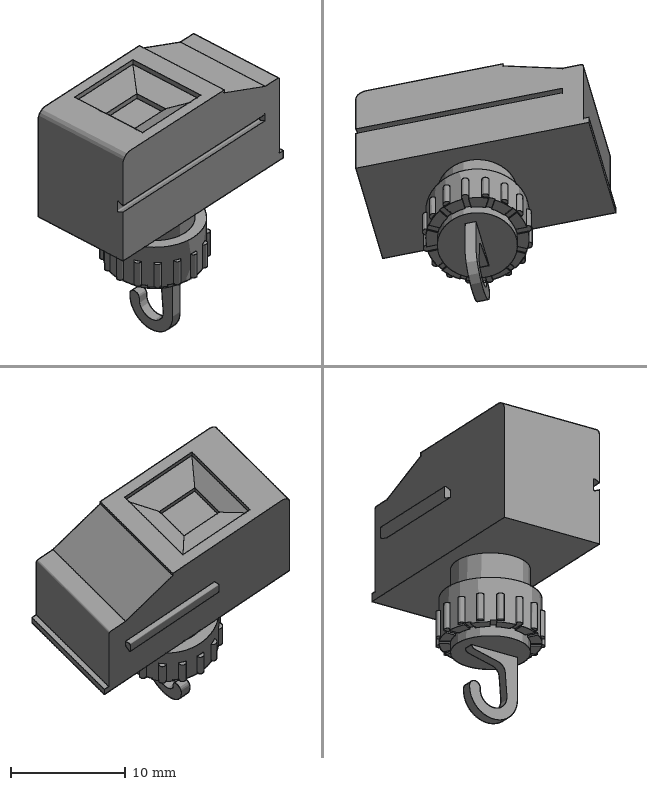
import cadquery as cq


HOUSING_WIDTH = 10.0
HOUSING_HEIGHT = 11.4
FRONT_DEPTH = 9.75
BACK_DEPTH = 10.76
LIP_LENGTH = 0.5
LIP_HEIGHT = 0.78
BACK_HEIGHT = 8.95
SLOPE_BOTTOM_Y = 8.87
SLOPE_TOP_Y = 3.5
SLOPE_STEP = 0.3
FRONT_EDGE_RADIUS = 1.0
BACK_EDGE_RADIUS = 0.25

POCKET_MOUTH_X = 8.0
POCKET_MOUTH_Y = 7.62
POCKET_MOUTH_CENTER_Y = -2.25
POCKET_FLOOR_X = 3.38
POCKET_FLOOR_Y = 4.0
POCKET_FLOOR_CENTER_Y = -2.5
POCKET_WALL = 0.5
POCKET_TAPER_DEPTH = 1.0

DOVETAIL_DEPTH = 0.65
DOVETAIL_WIDE = 1.25
DOVETAIL_NARROW = 0.68
DOVETAIL_Z = 5.6
DOVETAIL_EDGE_RADIUS = 0.1
RAIL_FRONT_Y = -1.22
RAIL_BACK_Y = 8.87

STEM_RADIUS = 3.5
STEM_LENGTH = 8.0

HOOK_THICKNESS = 1.0
HOOK_DROP = 14.6
HOOK_OUTER_RADIUS = 2.52
HOOK_INNER_RADIUS = 1.4
HOOK_TIP_STRAIGHT = 0.13
HOOK_ROOT_EMBED = 0.47
HOOK_SHOULDER_X = -2.35
HOOK_SHOULDER_Z = -8.3
HOOK_THROAT_X = 1.17
HOOK_THROAT_Z = -9.1
HOOK_SHOULDER_RADIUS = 0.5
HOOK_THROAT_RADIUS = 1.0

NUT_RADIUS = 4.52
NUT_TOP_Z = -2.83
NUT_BOTTOM_Z = -7.12
RIB_COUNT = 16
RIB_RADIUS = 0.35
RIB_TOP_Z = -4.47
RIB_BOTTOM_Z = -6.97
NOTCH_COUNT = 12
NOTCH_WIDTH = 0.55
NOTCH_HEIGHT = RIB_BOTTOM_Z - NUT_BOTTOM_Z


def housing_block():
    """Side outline extruded across the width, with the two rounded top edges."""
    outline = [
        (-FRONT_DEPTH, 0),
        (BACK_DEPTH + LIP_LENGTH, 0),
        (BACK_DEPTH + LIP_LENGTH, LIP_HEIGHT),
        (BACK_DEPTH, LIP_HEIGHT),
        (BACK_DEPTH, BACK_HEIGHT),
        (SLOPE_BOTTOM_Y, BACK_HEIGHT),
        (SLOPE_TOP_Y, HOUSING_HEIGHT - SLOPE_STEP),
        (SLOPE_TOP_Y, HOUSING_HEIGHT),
        (-FRONT_DEPTH, HOUSING_HEIGHT),
    ]
    block = cq.Workplane("YZ").polyline(outline).close().extrude(HOUSING_WIDTH / 2, both=True)
    front_edge = cq.NearestToPointSelector((0, -FRONT_DEPTH, HOUSING_HEIGHT))
    back_edge = cq.NearestToPointSelector((0, BACK_DEPTH, BACK_HEIGHT))
    block = block.edges(front_edge).fillet(FRONT_EDGE_RADIUS)
    return block.edges(back_edge).fillet(BACK_EDGE_RADIUS)


def pocket():
    """Upright mouth, tapered middle and upright floor recess, as one cutter."""
    taper_top = HOUSING_HEIGHT - POCKET_WALL
    taper_bottom = taper_top - POCKET_TAPER_DEPTH
    mouth = (
        cq.Workplane("XY", origin=(0, POCKET_MOUTH_CENTER_Y, taper_top))
        .rect(POCKET_MOUTH_X, POCKET_MOUTH_Y)
        .extrude(POCKET_WALL)
    )
    taper = (
        cq.Workplane("XY", origin=(0, POCKET_MOUTH_CENTER_Y, taper_top))
        .rect(POCKET_MOUTH_X, POCKET_MOUTH_Y)
        .workplane(offset=-POCKET_TAPER_DEPTH)
        .center(0, POCKET_FLOOR_CENTER_Y - POCKET_MOUTH_CENTER_Y)
        .rect(POCKET_FLOOR_X, POCKET_FLOOR_Y)
        .loft(ruled=True)
    )
    floor_recess = (
        cq.Workplane("XY", origin=(0, POCKET_FLOOR_CENTER_Y, taper_bottom))
        .rect(POCKET_FLOOR_X, POCKET_FLOOR_Y)
        .extrude(-POCKET_WALL)
    )
    return mouth.union(taper).union(floor_recess)


def dovetail(side_x, front_y, back_y):
    """Dovetail bar, narrow at side_x and widening toward -X, with rounded wide corners."""
    outline = [
        (side_x, DOVETAIL_Z - DOVETAIL_NARROW / 2),
        (side_x, DOVETAIL_Z + DOVETAIL_NARROW / 2),
        (side_x - DOVETAIL_DEPTH, DOVETAIL_Z + DOVETAIL_WIDE / 2),
        (side_x - DOVETAIL_DEPTH, DOVETAIL_Z - DOVETAIL_WIDE / 2),
    ]
    bar = (
        cq.Workplane("XZ", origin=(0, front_y, 0))
        .polyline(outline)
        .close()
        .extrude(front_y - back_y)
    )
    return bar.faces("<X").edges("|Y").fillet(DOVETAIL_EDGE_RADIUS)


def rail():
    return dovetail(-HOUSING_WIDTH / 2, RAIL_FRONT_Y, RAIL_BACK_Y)


def slot():
    """Slot open at the front face that ends level with the back end of the rail."""
    return dovetail(HOUSING_WIDTH / 2, -FRONT_DEPTH, RAIL_BACK_Y)


def stem():
    return cq.Workplane("XY").circle(STEM_RADIUS).extrude(-STEM_LENGTH)


def hook():
    """Flat J-shaped plate with a round tip, its root buried in the stem."""
    root_z = HOOK_ROOT_EMBED - STEM_LENGTH
    bend_z = HOOK_OUTER_RADIUS - HOOK_DROP
    tip_z = bend_z + HOOK_TIP_STRAIGHT
    tip_radius = (HOOK_OUTER_RADIUS - HOOK_INNER_RADIUS) / 2
    tip_x = -(HOOK_OUTER_RADIUS + HOOK_INNER_RADIUS) / 2
    half_thickness = HOOK_THICKNESS / 2
    plate = (
        cq.Workplane("XZ")
        .moveTo(HOOK_SHOULDER_X, root_z)
        .lineTo(HOOK_OUTER_RADIUS, root_z)
        .lineTo(HOOK_OUTER_RADIUS, bend_z)
        .threePointArc((0, bend_z - HOOK_OUTER_RADIUS), (-HOOK_OUTER_RADIUS, bend_z))
        .lineTo(-HOOK_OUTER_RADIUS, tip_z)
        .threePointArc((tip_x, tip_z + tip_radius), (-HOOK_INNER_RADIUS, tip_z))
        .lineTo(-HOOK_INNER_RADIUS, bend_z)
        .threePointArc((0, bend_z - HOOK_INNER_RADIUS), (HOOK_INNER_RADIUS, bend_z))
        .lineTo(HOOK_THROAT_X, HOOK_THROAT_Z)
        .lineTo(HOOK_SHOULDER_X, HOOK_SHOULDER_Z)
        .close()
        .extrude(half_thickness, both=True)
    )
    throat_edge = cq.NearestToPointSelector((HOOK_THROAT_X, 0, HOOK_THROAT_Z))
    shoulder_edge = cq.NearestToPointSelector((HOOK_SHOULDER_X, 0, HOOK_SHOULDER_Z))
    plate = plate.edges("|Y").edges(throat_edge).fillet(HOOK_THROAT_RADIUS)
    return plate.edges("|Y").edges(shoulder_edge).fillet(HOOK_SHOULDER_RADIUS)


def make_housing():
    """Housing in one piece with its rail, stem and hook."""
    return housing_block().cut(pocket()).cut(slot()).union(rail()).union(stem()).union(hook())


def make_nut():
    """Ring around the stem with round ribs outside and radial notches in the underside."""
    ring = (
        cq.Workplane("XY", origin=(0, 0, NUT_BOTTOM_Z))
        .circle(NUT_RADIUS)
        .extrude(NUT_TOP_Z - NUT_BOTTOM_Z)
    )
    ribs = (
        cq.Workplane("XY", origin=(0, 0, RIB_BOTTOM_Z))
        .polarArray(NUT_RADIUS, 0, 360, RIB_COUNT)
        .circle(RIB_RADIUS)
        .extrude(RIB_TOP_Z - RIB_BOTTOM_Z)
    )
    notches = (
        cq.Workplane("XY", origin=(0, 0, NUT_BOTTOM_Z))
        .polarArray(NUT_RADIUS / 2, 0, 360, NOTCH_COUNT)
        .rect(2 * NUT_RADIUS, NOTCH_WIDTH)
        .extrude(NOTCH_HEIGHT)
    )
    bore = (
        cq.Workplane("XY", origin=(0, 0, NUT_BOTTOM_Z))
        .circle(STEM_RADIUS)
        .extrude(NUT_TOP_Z - NUT_BOTTOM_Z)
    )
    return ring.union(ribs).cut(notches).cut(bore)


housing = make_housing()
nut = make_nut()

result = cq.Compound.makeCompound([housing.val(), nut.val()])